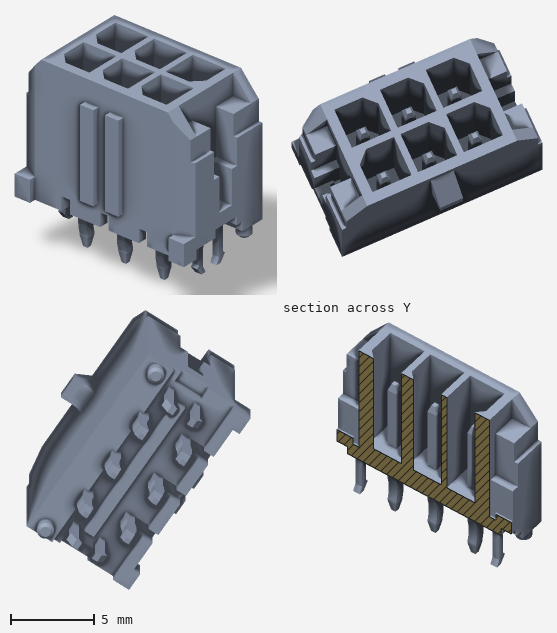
import cadquery as cq


HOUSING_DEPTH = 6.89
HOUSING_HEIGHT = 9.9
FLANGE_HALF = 6.575
SHOULDER_HALF = 6.3
TOP_HALF = 4.92
SHOULDER_Z = 8.27
FLANGE_Z = 6.72
FRONT_Y = -HOUSING_DEPTH / 2
BACK_Y = HOUSING_DEPTH / 2
OVERCUT = 1.0

SLOPE_BACK_Y = 2.705
SLOPE_FRONT_Y = -2.42
BEVEL_X = 5.395
BEVEL_END_Y = -2.83
WIDE_SLOT_WIDTH = 2.18
WIDE_SLOT_Z = 4.78
NARROW_SLOT_WIDTH = 1.16
NARROW_SLOT_Z = 2.27
SOCKET_DEPTH = 0.5
SOCKET_STEP_X = 5.35
SOCKET_OUTER_X = 5.64
SOCKET_NOSE_WIDTH = 0.82

FRONT_PROJECTION = 0.48
FOOT_HEIGHT = 1.6
RIB_WIDTH = 1.03
RIB_CENTER_X = 0.97

PITCH = 3.0
CONTACT_Y = 0.045
COLUMN_X = [-PITCH, 0, PITCH]
CAVITY_SIZE = 2.57
CAVITY_BEVEL = 0.73
CAVITY_FLOOR_Z = 2.3
PIN_SIZE = 0.64
PIN_TOP_Z = 7.4
PIN_TOP_SIZE = 0.3
PIN_TOP_TAPER = 0.5
PIN_BOTTOM_Z = -3.19
PIN_END_SIZE = 0.34
PIN_TAPER_Z = -2.37
BOW_TOP_Z = -0.54
BOW_BOTTOM_Z = -2.24
BOW_HEIGHT = 0.12

CHANNEL_FRONT_Y = -2.755
CHANNEL_BACK_Y = 1.605
CHANNEL_HEIGHT = 0.68
SPINE_WIDTH = 0.69
NOTCH_WIDTH = 2.0
NOTCH_DEPTH = 0.8
NOTCH_TOP_Z = 1.27
PIN_SLOT_HEIGHT = 1.01
PEG_X = 5.97
PEG_Y = 2.48
PEG_DIAMETER = 1.02
PEG_LENGTH = 0.88
PEG_CHAMFER = 0.19

HOOK_X = 5.155
HOOK_THICKNESS = 0.5
HOOK_INNER_Y = 0.745
HOOK_OUTER_Y = 1.125
HOOK_BARB_Y = 1.31
HOOK_TOE_INNER_Y = 0.51
HOOK_TOE_OUTER_Y = 0.9
HOOK_INNER_BEND_Z = -1.86
HOOK_OUTER_BEND_Z = -1.61
HOOK_BARB_Z = -1.77
HOOK_TOE_Z = -2.32
HOOK_ROOT = 0.2

LATCH_WIDTH = 1.5
LATCH_REACH = 1.4
LATCH_TOP_Z = 9.37
LATCH_NOSE_TOP_Z = 7.7
LATCH_NOSE_BOTTOM_Z = 6.97
LATCH_FILLET = 0.67


def block(x0, x1, y0, y1, z0, z1):
    """Axis-aligned box between two opposite corners."""
    return cq.Workplane("XY").box(x1 - x0, y1 - y0, z1 - z0, centered=False).translate((x0, y0, z0))


def both_ends(shape):
    """The +X shape together with its mirror image on the -X end."""
    return shape.union(shape.mirror("YZ"))


def shell():
    """Solid housing: stepped and sloped end outline run through the full depth."""
    right_side = [
        (FLANGE_HALF, 0),
        (FLANGE_HALF, FLANGE_Z),
        (SHOULDER_HALF, FLANGE_Z),
        (SHOULDER_HALF, SHOULDER_Z),
        (TOP_HALF, HOUSING_HEIGHT),
    ]
    left_side = [(-x, z) for x, z in reversed(right_side)]
    return (
        cq.Workplane("XZ", origin=(0, BACK_Y, 0))
        .polyline(right_side + left_side)
        .close()
        .extrude(HOUSING_DEPTH)
    )


def end_cuts():
    """Open bay, stepped slot, clip socket and corner bevel of each end."""
    outside_x = FLANGE_HALF + OVERCUT
    above_z = HOUSING_HEIGHT + OVERCUT
    wide = WIDE_SLOT_WIDTH / 2
    narrow = NARROW_SLOT_WIDTH / 2
    nose = SOCKET_NOSE_WIDTH / 2
    socket_z = NARROW_SLOT_Z - SOCKET_DEPTH

    cuts = block(TOP_HALF, outside_x, SLOPE_FRONT_Y, SLOPE_BACK_Y, SHOULDER_Z, above_z)
    cuts = cuts.union(block(TOP_HALF, outside_x, -wide, wide, WIDE_SLOT_Z, above_z))
    cuts = cuts.union(block(TOP_HALF, outside_x, -narrow, narrow, NARROW_SLOT_Z, above_z))
    cuts = cuts.union(block(TOP_HALF, SOCKET_STEP_X, -narrow, narrow, socket_z, above_z))
    cuts = cuts.union(block(TOP_HALF, SOCKET_OUTER_X, -nose, nose, socket_z, above_z))

    bevel = (
        cq.Workplane("XY", origin=(0, 0, FOOT_HEIGHT))
        .polyline([(BEVEL_X, FRONT_Y), (FLANGE_HALF, FRONT_Y), (FLANGE_HALF, BEVEL_END_Y)])
        .close()
        .extrude(HOUSING_HEIGHT)
    )
    return both_ends(cuts.union(bevel))


def front_projections():
    """Corner feet and the pair of upright ribs on the front face."""
    outer_y = FRONT_Y - FRONT_PROJECTION
    foot = block(BEVEL_X, FLANGE_HALF, outer_y, FRONT_Y, 0, FOOT_HEIGHT)
    rib_start = RIB_CENTER_X - RIB_WIDTH / 2
    rib = block(rib_start, rib_start + RIB_WIDTH, outer_y, FRONT_Y, FOOT_HEIGHT, SHOULDER_Z)
    return both_ends(foot).union(both_ends(rib))


def latch():
    """Ramp on the back face that the mating plug snaps over."""
    nose_y = BACK_Y + LATCH_REACH
    return (
        cq.Workplane("YZ")
        .moveTo(BACK_Y, LATCH_TOP_Z)
        .lineTo(nose_y, LATCH_NOSE_TOP_Z)
        .lineTo(nose_y, LATCH_NOSE_BOTTOM_Z)
        .lineTo(BACK_Y + LATCH_FILLET, LATCH_NOSE_BOTTOM_Z)
        .radiusArc((BACK_Y, LATCH_NOSE_BOTTOM_Z - LATCH_FILLET), -LATCH_FILLET)
        .close()
        .extrude(LATCH_WIDTH / 2, both=True)
    )


def cavity(x, y, bevel_side):
    """Square wire cavity with one bevelled front corner on the given X side (-1 or +1)."""
    half = CAVITY_SIZE / 2
    inner = half - CAVITY_BEVEL
    outline = [
        (x + bevel_side * half, y - inner),
        (x + bevel_side * inner, y - half),
        (x - bevel_side * half, y - half),
        (x - bevel_side * half, y + half),
        (x + bevel_side * half, y + half),
    ]
    return (
        cq.Workplane("XY", origin=(0, 0, CAVITY_FLOOR_Z))
        .polyline(outline)
        .close()
        .extrude(HOUSING_HEIGHT)
    )


def underside_cuts():
    """Channel beneath the pins, end notches and the slots through the front wall."""
    outside_x = FLANGE_HALF + OVERCUT
    cuts = block(-outside_x, outside_x, CHANNEL_FRONT_Y, CHANNEL_BACK_Y, -OVERCUT, CHANNEL_HEIGHT)
    notch_front = CONTACT_Y - NOTCH_WIDTH / 2
    notch = block(
        FLANGE_HALF - NOTCH_DEPTH, outside_x, notch_front, notch_front + NOTCH_WIDTH, 0, NOTCH_TOP_Z
    )
    cuts = cuts.union(both_ends(notch))
    half = PIN_SIZE / 2
    pin_front_y = CONTACT_Y - PITCH / 2 - half
    for x in COLUMN_X:
        slot = block(x - half, x + half, FRONT_Y - OVERCUT, pin_front_y, -OVERCUT, PIN_SLOT_HEIGHT)
        cuts = cuts.union(slot)
    return cuts


def spine():
    """Rib along the middle of the underside channel."""
    half = SPINE_WIDTH / 2
    return block(-TOP_HALF, TOP_HALF, CONTACT_Y - half, CONTACT_Y + half, 0, CHANNEL_HEIGHT)


def pegs():
    """Round locating pegs under the back corners."""
    peg = (
        cq.Workplane("XY", origin=(PEG_X, PEG_Y, 0))
        .circle(PEG_DIAMETER / 2)
        .extrude(-PEG_LENGTH)
        .faces("<Z")
        .chamfer(PEG_CHAMFER)
    )
    return both_ends(peg)


def pin_point(z, end_size, length):
    """Square pyramid frustum that narrows from the pin section at height z."""
    return (
        cq.Workplane("XY", origin=(0, 0, z))
        .rect(PIN_SIZE, PIN_SIZE)
        .workplane(offset=length)
        .rect(end_size, end_size)
        .loft(ruled=True)
    )


def contact(x, outward):
    """Square pin whose tail bows towards the outward side (-1 front, +1 back)."""
    half = PIN_SIZE / 2
    bow_middle_z = (BOW_TOP_Z + BOW_BOTTOM_Z) / 2
    taper_z = PIN_TOP_Z - PIN_TOP_TAPER
    bow = outward * BOW_HEIGHT
    shank = (
        cq.Workplane("YZ")
        .moveTo(half, taper_z)
        .lineTo(half, BOW_TOP_Z)
        .threePointArc((half + bow, bow_middle_z), (half, BOW_BOTTOM_Z))
        .lineTo(half, PIN_TAPER_Z)
        .lineTo(-half, PIN_TAPER_Z)
        .lineTo(-half, BOW_BOTTOM_Z)
        .threePointArc((-half + bow, bow_middle_z), (-half, BOW_TOP_Z))
        .lineTo(-half, taper_z)
        .close()
        .extrude(half, both=True)
    )
    top = pin_point(taper_z, PIN_TOP_SIZE, PIN_TOP_TAPER)
    tail = pin_point(PIN_TAPER_Z, PIN_END_SIZE, PIN_BOTTOM_Z - PIN_TAPER_Z)
    return shank.union(top).union(tail).translate((x, CONTACT_Y + outward * PITCH / 2, 0))


def board_locks():
    """Two barbed spring hooks, back to back, at each end of the channel."""
    root_z = CHANNEL_HEIGHT + HOOK_ROOT
    hook = (
        cq.Workplane("YZ")
        .polyline([
            (HOOK_INNER_Y, root_z),
            (HOOK_OUTER_Y, root_z),
            (HOOK_OUTER_Y, HOOK_OUTER_BEND_Z),
            (HOOK_BARB_Y, HOOK_BARB_Z),
            (HOOK_TOE_OUTER_Y, HOOK_TOE_Z),
            (HOOK_TOE_INNER_Y, HOOK_TOE_Z),
            (HOOK_INNER_Y, HOOK_INNER_BEND_Z),
        ])
        .close()
        .extrude(HOOK_THICKNESS / 2, both=True)
    )
    pair = hook.union(hook.mirror("XZ"))
    return both_ends(pair.translate((HOOK_X, CONTACT_Y, 0)))


def header():
    """Housing with all its cuts, then the metal parts joined to it."""
    body = shell().cut(end_cuts()).union(front_projections()).union(latch())
    for x in COLUMN_X:
        for row in (-1, 1):
            keyed = x == COLUMN_X[-1] and row == 1
            bevel_side = 1 if keyed else -1
            body = body.cut(cavity(x, row * PITCH / 2, bevel_side))
    body = body.cut(underside_cuts()).union(spine()).union(pegs())
    for x in COLUMN_X:
        for row in (-1, 1):
            body = body.union(contact(x, row))
    return body.union(board_locks())


result = header()